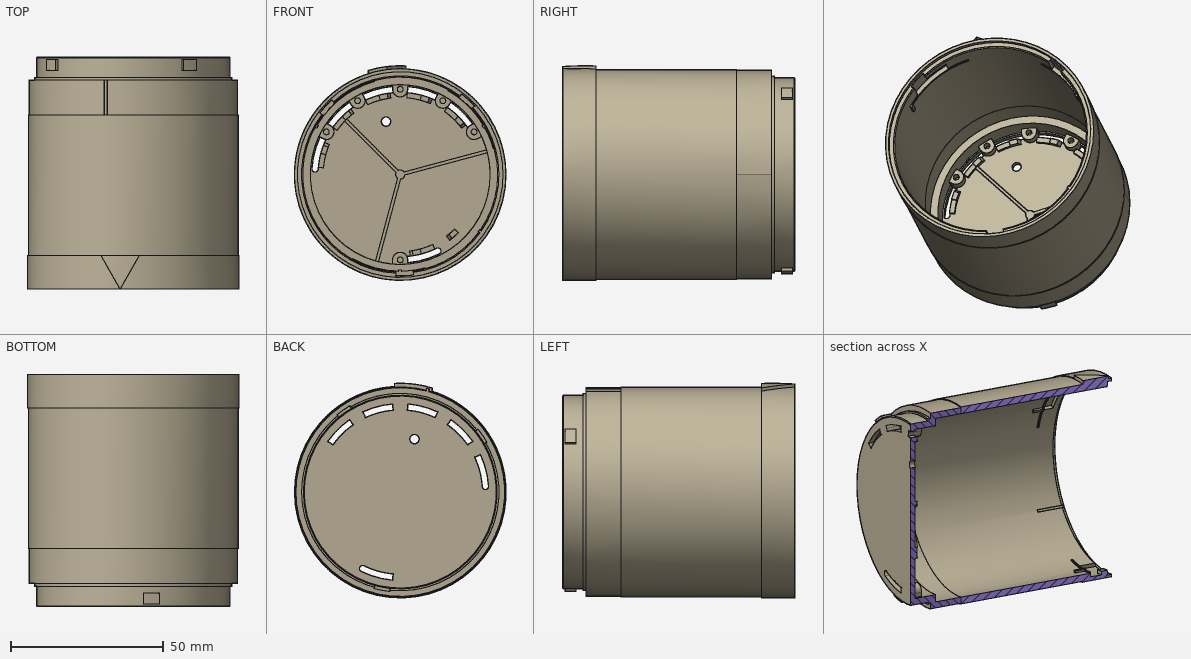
import cadquery as cq
import math


collar_end = 11.0
seam = 57.1
shoulder_end = 68.6
flange_end = 69.55
total_length = 76.25

collar_radius = 69.5 / 2
tube_radius = 69.0 / 2
bore_radius = 64.0 / 2

rim_recess_radius = 67.5 / 2
rim_recess_depth = 1.5
bore_mouth_radius = 64.8 / 2
bore_mouth_length = 0.25

arrow_radius = collar_radius + 1.0
arrow_center_x = -4.3
arrow_half_width = 6.25

socket_entry_starts = (42.7, 132.5, 267.6)
socket_entry_angle = 10.0
socket_lock_angle = 14.0
socket_radius = 33.25
lock_front = 4.0
lock_back = 7.9
stop_rib_before = 27.0
stop_rib_after = 17.5
stop_rib_width = 0.6
inner_rib_radius = bore_radius - 0.3
tick_angles = (30, 150, 270)
tick_radius = bore_radius - 0.7
tick_width = 1.0
tick_length = 4.0
guide_rib_angle = 324.5
guide_rib_width = 0.8

base_radius = 68.5 / 2
flange_radius = 64.8 / 2
plug_radius = 63.6 / 2
plug_chamfer = 0.3
plate_radius = 59.0 / 2
ledge_front = 66.6
plate_thickness = 2.0
plate_front = total_length - plate_thickness

key_angle = 105.0
key_radius = base_radius + 0.9
key_width = 1.0

lug_radius = 32.8
lug_starts = (50.6, 140.9, 276.0)
lug_angle = 9.2
lug_front = 71.8
lug_back = 75.4

spoke_angles = (15, 135, 255)
spoke_width = 1.0
spoke_height = 0.8
hub_radius = 3.0 / 2

wire_hole_diameter = 3.0
wire_hole_circle = 18.0
wire_hole_angle = 105.0

slot_inner_radius = 27.0
slot_outer_radius = 29.0
slot_spans = ((30, 176.2), (270, 296.2))

boss_angles = (30, 60, 90, 120, 150, 270)
boss_circle = 28.0
boss_radius = 2.5
boss_height = 3.0
boss_hole_diameter = 1.9

clip_inner_radius = 25.3
clip_outer_radius = slot_inner_radius
clip_boss_angles = (30, 60, 90, 120, 150, 270)
lone_clip_angle = 300
clip_start = 7.0
clip_ramp_end = 9.0
clip_block_end = 15.0
clip_strip_end = 25.0
clip_height = 1.5
clip_strip_height = 1.0

overlap = 0.5


def on_circle(radius, angle):
    a = math.radians(angle)
    return (radius * math.cos(a), radius * math.sin(a))


def section_plane(y):
    return cq.Workplane("XZ", origin=(0, y, 0))


def disc(radius, y0, y1):
    return section_plane(y0).circle(radius).extrude(y0 - y1)


def ring(inner, outer, y0, y1):
    return section_plane(y0).circle(outer).circle(inner).extrude(y0 - y1)


def sector(inner, outer, start, end, y0, y1):
    """Piece of a ring between two angles."""
    middle = (start + end) / 2
    return (
        section_plane(y0)
        .moveTo(*on_circle(inner, start))
        .lineTo(*on_circle(outer, start))
        .threePointArc(on_circle(outer, middle), on_circle(outer, end))
        .lineTo(*on_circle(inner, end))
        .threePointArc(on_circle(inner, middle), on_circle(inner, start))
        .close()
        .extrude(y0 - y1)
    )


def radial_bar(inner, outer, width, angle, y0, y1):
    """Straight bar along a radius."""
    bar = section_plane(y0).center((inner + outer) / 2, 0).rect(outer - inner, width).extrude(y0 - y1)
    return bar.rotate((0, 0, 0), (0, 1, 0), -angle)


def arrow():
    """Triangular alignment mark standing on the collar, its tip at the rim."""
    prism = (
        cq.Workplane("XY")
        .moveTo(arrow_center_x, 0)
        .lineTo(arrow_center_x + arrow_half_width, collar_end)
        .lineTo(arrow_center_x - arrow_half_width, collar_end)
        .close()
        .extrude(2 * arrow_radius)
    )
    return prism.intersect(ring(collar_radius - overlap, arrow_radius, 0, collar_end))


def socket_cut(entry_start):
    """L-shaped bayonet channel: an axial entry and a locking stretch beside it."""
    entry_end = entry_start + socket_entry_angle
    inner = bore_radius - overlap
    entry = sector(inner, socket_radius, entry_start, entry_end, 0, lock_back)
    lock_start = entry_start - socket_lock_angle
    lock = sector(inner, socket_radius, lock_start, entry_end, lock_front, lock_back)
    return entry.union(lock)


def stop_rib(entry_start):
    """Arc rib closing the back of a bayonet channel."""
    return sector(
        inner_rib_radius, bore_radius + overlap,
        entry_start - stop_rib_before, entry_start + stop_rib_after,
        lock_back, lock_back + stop_rib_width,
    )


def make_lens_tube():
    tube = disc(collar_radius, 0, collar_end).union(disc(tube_radius, collar_end, seam))
    tube = tube.union(arrow())
    tube = tube.cut(disc(bore_radius, 0, seam))
    tube = tube.cut(disc(rim_recess_radius, 0, rim_recess_depth))
    mouth = (
        section_plane(rim_recess_depth)
        .circle(bore_mouth_radius)
        .workplane(offset=-bore_mouth_length)
        .circle(bore_radius)
        .loft()
    )
    tube = tube.cut(mouth)
    for entry_start in socket_entry_starts:
        tube = tube.cut(socket_cut(entry_start))
        tube = tube.union(stop_rib(entry_start))
    for angle in tick_angles:
        tick = radial_bar(
            tick_radius, bore_radius + overlap, tick_width, angle, lock_back, lock_back + tick_length
        )
        tube = tube.union(tick)
    guide_rib = radial_bar(
        inner_rib_radius, bore_radius + overlap, guide_rib_width, guide_rib_angle,
        rim_recess_depth, collar_end,
    )
    tube = tube.union(guide_rib)
    return tube


def base_shell():
    plug = disc(plug_radius, flange_end, total_length).faces(">Y").chamfer(plug_chamfer)
    shell = disc(base_radius, seam, shoulder_end)
    shell = shell.union(disc(flange_radius, shoulder_end, flange_end)).union(plug)
    shell = shell.cut(disc(bore_radius, seam, ledge_front))
    shell = shell.cut(disc(plate_radius, ledge_front, plate_front))
    key = radial_bar(base_radius - overlap, key_radius, key_width, key_angle, seam, shoulder_end)
    shell = shell.union(key)
    for start in lug_starts:
        lug = sector(plug_radius - overlap, lug_radius, start, start + lug_angle, lug_front, lug_back)
        shell = shell.union(lug)
    return shell


def spokes():
    spoke_front = plate_front - spoke_height
    star = disc(hub_radius, spoke_front, plate_front)
    for angle in spoke_angles:
        star = star.union(
            radial_bar(0, plate_radius, spoke_width, angle, spoke_front, plate_front)
        )
    return star


def plate_slot(start, end):
    """Arc slot through the plate, rounded at its far end."""
    middle_radius = (slot_inner_radius + slot_outer_radius) / 2
    slot_front = plate_front - spoke_height
    slot = sector(slot_inner_radius, slot_outer_radius, start, end, slot_front, total_length)
    x, z = on_circle(middle_radius, end)
    end_radius = (slot_outer_radius - slot_inner_radius) / 2
    rounding = section_plane(slot_front).center(x, z).circle(end_radius).extrude(slot_front - total_length)
    return slot.union(rounding)


def boss(angle):
    """Screw boss with flat flanks running out to the wall around the plate."""
    boss_front = plate_front - boss_height
    pillar = section_plane(boss_front).center(boss_circle, 0).circle(boss_radius).extrude(-boss_height)
    pillar = pillar.rotate((0, 0, 0), (0, 1, 0), -angle)
    flanks = radial_bar(
        boss_circle, plate_radius + overlap, 2 * boss_radius, angle, boss_front, plate_front
    )
    foot = pillar.union(flanks).intersect(disc(plate_radius + overlap, boss_front, plate_front))
    web = foot.translate((0, boss_height, 0)).intersect(disc(plate_radius, plate_front, total_length))
    x, z = on_circle(boss_circle, angle)
    hole = section_plane(boss_front).center(x, z).circle(boss_hole_diameter / 2).extrude(-boss_height)
    return foot.union(web).cut(hole)


def clip(boss_angle, has_strip):
    """Raised block with a sloped leading end, and a lower strip trailing behind it."""
    start = boss_angle + clip_start
    ramp_end = boss_angle + clip_ramp_end
    block_end = boss_angle + clip_block_end
    block = sector(
        clip_inner_radius, clip_outer_radius, start, block_end, plate_front - clip_height, plate_front
    )
    ramp_length = clip_outer_radius * math.radians(ramp_end - start)
    slope = (
        cq.Workplane("YZ", origin=(clip_inner_radius - overlap, 0, 0))
        .moveTo(plate_front, 0)
        .lineTo(plate_front - clip_height, ramp_length)
        .lineTo(plate_front - clip_height, -ramp_length)
        .lineTo(plate_front, -ramp_length)
        .close()
        .extrude(clip_outer_radius - clip_inner_radius + 2 * overlap)
        .rotate((0, 0, 0), (0, 1, 0), -start)
    )
    block = block.cut(slope)
    if has_strip:
        strip = sector(
            clip_inner_radius, clip_outer_radius, block_end, boss_angle + clip_strip_end,
            plate_front - clip_strip_height, plate_front,
        )
        block = block.union(strip)
    return block


def make_base():
    base = base_shell().union(spokes())
    for start, end in slot_spans:
        base = base.cut(plate_slot(start, end))
    x, z = on_circle(wire_hole_circle, wire_hole_angle)
    wire_hole = section_plane(plate_front).center(x, z).circle(wire_hole_diameter / 2)
    base = base.cut(wire_hole.extrude(-plate_thickness))
    for angle in boss_angles:
        base = base.union(boss(angle))
    for angle in clip_boss_angles:
        base = base.union(clip(angle, True))
    base = base.union(clip(lone_clip_angle, False))
    return base


lens_tube = make_lens_tube()
base = make_base()

result = cq.Compound.makeCompound([lens_tube.val(), base.val()])